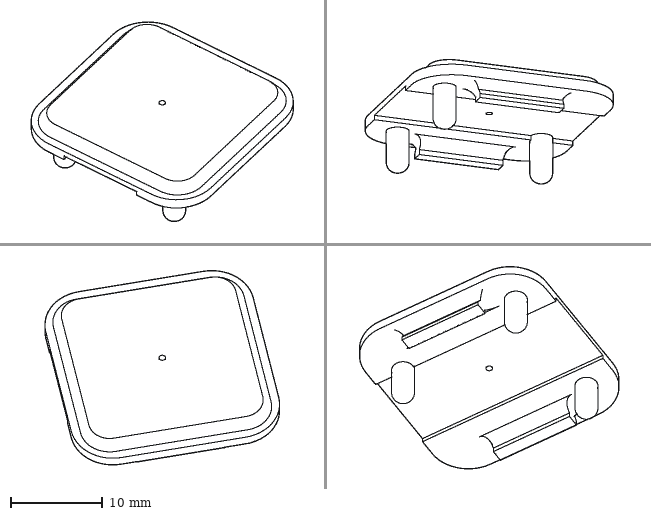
import cadquery as cq
import math

PLATE_SIDE = 23.27
FLANGE_HEIGHT = 1.23
FLANGE_CORNER_RADIUS = 4.65

PANEL_HEIGHT = 1.2
PANEL_FOOT_INSET = 0.95
PANEL_TOP_INSET = 1.88
PANEL_FOOT_RADIUS = 3.25
PANEL_TOP_RADIUS = 2.33

CHANNEL_WIDTH = 9.82
CHANNEL_DEPTH = 0.51
VENT_DIAMETER = 0.7

PIN_DIAMETER = 2.54
PIN_LENGTH = 4.82
PIN_TIP_RADIUS = 1.15
PIN_X = 7.4
PIN_Y = 7.98
OFFSET_PIN_X = 5.1
PIN_POSITIONS = [(-PIN_X, -PIN_Y), (PIN_X, -PIN_Y), (-OFFSET_PIN_X, PIN_Y)]

CLIP_LENGTH = CHANNEL_WIDTH
CLIP_DEPTH = 1.84
CLIP_INNER_X = 8.85
CLIP_NECK_X = 9.9
CLIP_LIP_X = 10.33
CLIP_SHOULDER_X = 10.22
NECK_END_DEPTH = 0.75
SHOULDER_DEPTH = 1.12
LIP_START_DEPTH = 1.37
CLIP_ROOT_RADIUS = 1.0
CLIP_GUSSET = 1.25


def rounded_square(side, corner_radius):
    """Centred square outline with rounded corners."""
    return cq.Sketch().rect(side, side).vertices().fillet(corner_radius)


def make_flange():
    outline = rounded_square(PLATE_SIDE, FLANGE_CORNER_RADIUS)
    return cq.Workplane("XY").placeSketch(outline).extrude(FLANGE_HEIGHT)


def make_panel():
    foot = rounded_square(PLATE_SIDE - 2 * PANEL_FOOT_INSET, PANEL_FOOT_RADIUS)
    top = rounded_square(PLATE_SIDE - 2 * PANEL_TOP_INSET, PANEL_TOP_RADIUS)
    raised_top = top.moved(cq.Location(cq.Vector(0, 0, PANEL_HEIGHT)))
    return cq.Workplane("XY", origin=(0, 0, FLANGE_HEIGHT)).placeSketch(foot, raised_top).loft()


def make_pin(x, y):
    """Pin that starts at the channel ceiling and ends in a rounded tip."""
    pin = cq.Workplane("XY", origin=(x, y, CHANNEL_DEPTH)).circle(PIN_DIAMETER / 2)
    return pin.extrude(-(PIN_LENGTH + CHANNEL_DEPTH)).faces("<Z").edges().fillet(PIN_TIP_RADIUS)


def make_clip():
    """Clip on the +X side: its cross-section trimmed by its lengthwise outline."""
    arc_center_x = CLIP_NECK_X + CLIP_ROOT_RADIUS
    neck_end_rise = CLIP_ROOT_RADIUS - NECK_END_DEPTH
    neck_end_x = arc_center_x - math.sqrt(CLIP_ROOT_RADIUS**2 - neck_end_rise**2)
    flare_length = CLIP_LENGTH / 2 + CLIP_ROOT_RADIUS

    section = (
        cq.Workplane("XZ")
        .moveTo(CLIP_INNER_X - CLIP_GUSSET, 0)
        .lineTo(arc_center_x, 0)
        .radiusArc((neck_end_x, -NECK_END_DEPTH), -CLIP_ROOT_RADIUS)
        .lineTo(CLIP_SHOULDER_X, -SHOULDER_DEPTH)
        .lineTo(CLIP_LIP_X, -LIP_START_DEPTH)
        .lineTo(CLIP_LIP_X, -CLIP_DEPTH)
        .lineTo(CLIP_INNER_X, -CLIP_DEPTH)
        .lineTo(CLIP_INNER_X, -CLIP_GUSSET)
        .close()
        .extrude(flare_length, both=True)
    )
    side_outline = (
        cq.Workplane("YZ")
        .moveTo(-flare_length, 0)
        .lineTo(flare_length, 0)
        .radiusArc((CLIP_LENGTH / 2, -CLIP_ROOT_RADIUS), -CLIP_ROOT_RADIUS)
        .lineTo(CLIP_LENGTH / 2, -CLIP_DEPTH)
        .lineTo(-CLIP_LENGTH / 2, -CLIP_DEPTH)
        .lineTo(-CLIP_LENGTH / 2, -CLIP_ROOT_RADIUS)
        .radiusArc((-flare_length, 0), -CLIP_ROOT_RADIUS)
        .close()
        .extrude(PLATE_SIDE / 2)
    )
    return section.intersect(side_outline)


channel = cq.Workplane("XY").box(CHANNEL_WIDTH, PLATE_SIDE, 2 * CHANNEL_DEPTH)
vent = cq.Workplane("XY").circle(VENT_DIAMETER / 2).extrude(FLANGE_HEIGHT + PANEL_HEIGHT)

result = make_flange().union(make_panel()).cut(channel).cut(vent)

for pin_x, pin_y in PIN_POSITIONS:
    result = result.union(make_pin(pin_x, pin_y))

clip = make_clip()
result = result.union(clip).union(clip.mirror("YZ"))